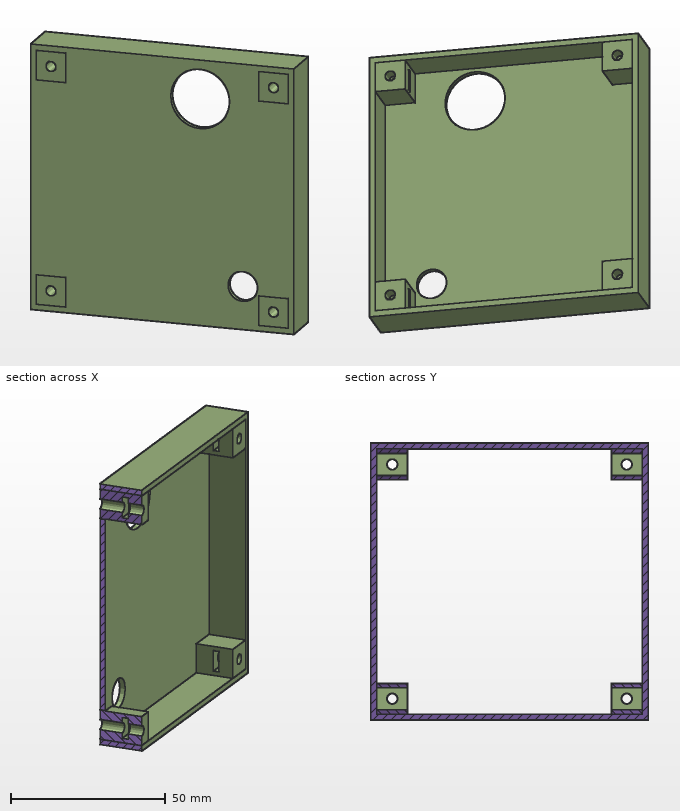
import cadquery as cq

WIDTH = 90.1
HEIGHT = 90.0
DEPTH = 15.0
WALL = 2.0

LARGE_OPENING_DIAMETER = 20.0
LARGE_OPENING_CENTER = (13.0, 31.8)
SMALL_OPENING_DIAMETER = 10.0
SMALL_OPENING_CENTER = (27.6, -30.4)

POST_SIDE = 10.0
POST_LENGTH = DEPTH
POST_BORE_DIAMETER = 3.3

SLOT_FRONT = 8.1
SLOT_LENGTH = 2.0
SLOT_HEIGHT = 7.0

POST_X = WIDTH / 2 - WALL - POST_SIDE / 2
POST_Z = HEIGHT / 2 - WALL - POST_SIDE / 2
POST_CENTERS = [(side * POST_X, end * POST_Z) for side in (-1, 1) for end in (-1, 1)]


def block(width, height, depth, center=(0, 0), front=0):
    """Rectangular block that starts at Y = front and runs toward +Y."""
    x, z = center
    return cq.Workplane("XY").box(width, depth, height).translate((x, front + depth / 2, z))


def bore(diameter, depth, center):
    """Round cutter that starts at the front face and runs toward +Y."""
    x, z = center
    axis_start = cq.Vector(x, 0, z)
    return cq.Workplane(cq.Solid.makeCylinder(diameter / 2, depth, axis_start, cq.Vector(0, 1, 0)))


def make_housing():
    """Front plate and four side walls, with openings and square post seats."""
    housing = block(WIDTH, HEIGHT, DEPTH)
    housing = housing.cut(block(WIDTH - 2 * WALL, HEIGHT - 2 * WALL, DEPTH - WALL, front=WALL))
    housing = housing.cut(bore(LARGE_OPENING_DIAMETER, WALL, LARGE_OPENING_CENTER))
    housing = housing.cut(bore(SMALL_OPENING_DIAMETER, WALL, SMALL_OPENING_CENTER))
    for center in POST_CENTERS:
        housing = housing.cut(block(POST_SIDE, POST_SIDE, WALL, center))
    return housing


def make_post(center):
    """Square post with a bore along its full length and a slot across it in X."""
    post = block(POST_SIDE, POST_SIDE, POST_LENGTH, center)
    post = post.cut(block(POST_SIDE, SLOT_HEIGHT, SLOT_LENGTH, center, SLOT_FRONT))
    return post.cut(bore(POST_BORE_DIAMETER, POST_LENGTH, center))


housing = make_housing()
posts = [make_post(center) for center in POST_CENTERS]

result = cq.Compound.makeCompound([housing.val(), *[post.val() for post in posts]])